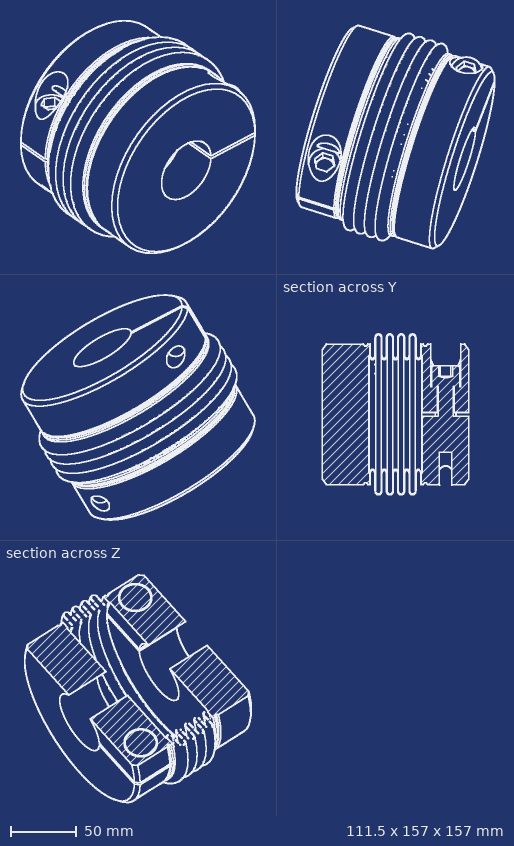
import cadquery as cq
import math

length = 111.5
outer_radius = 157.0 / 2
hub_radius = 145.0 / 2
bore_radius = 50.0 / 2
hub_chamfer = 3.1

crest_count = 4
crest_radius = 2.8
root_radius = 1.49
end_root_radius = 1.7
wall = 0.8
root_distance = 64.8
pitch = 2 * (crest_radius + root_radius)
crest_centre = outer_radius - crest_radius
root_centre = root_distance + root_radius
end_root_centre = root_distance + end_root_radius
last_crest_x = (crest_count - 1) * pitch / 2
end_root_x = last_crest_x + crest_radius + end_root_radius
bellows_end = end_root_x + end_root_radius
cavity_end = bellows_end + wall

groove_depth = 1.1
groove_floor_width = 1.1
groove_outer_x = 24.3
groove_floor_outer_x = groove_outer_x - groove_depth
groove_floor_inner_x = groove_floor_outer_x - groove_floor_width
groove_inner_x = groove_floor_inner_x - groove_depth
groove_floor_radius = hub_radius - groove_depth

slit_width = 2.7

screw_x = -38.2
screw_y = -54.0
counterbore_diameter = 25.0
clearance_diameter = 16.5
tap_diameter = 14.0
shank_diameter = 16.0
shank_length = 50.0
head_diameter = 24.0
head_height = 16.0
head_top = 37.0
head_seat = head_top - head_height
head_round = 1.5
socket_width = 14.0
socket_depth = 8.0
socket_floor = head_top - socket_depth
drill_point_angle = 120.0

pin_diameter = 4.9
pin_offset = 11.0
pin_y = screw_y + pin_offset
pin_z = 42.4


def add_half_circle(path, x, distance, radius, rise):
    """Continue a profile along +X to a half circle; rise is 1 for a crest and -1 for a root."""
    path = path.lineTo(x - radius, distance)
    return path.threePointArc((x, distance + rise * radius), (x + radius, distance))


def add_bellows(path, inset):
    """Continue a profile along +X over the bellows, from one end flank to the other.

    The inset is how far the profile lies inside the outer skin of the bellows.
    """
    end_arc = end_root_radius + inset
    path = add_half_circle(path, -end_root_x, end_root_centre, end_arc, -1)
    for index in range(crest_count):
        crest_x = -last_crest_x + index * pitch
        path = add_half_circle(path, crest_x, crest_centre, crest_radius - inset, 1)
        if index < crest_count - 1:
            path = add_half_circle(path, crest_x + pitch / 2, root_centre, root_radius + inset, -1)
    return add_half_circle(path, end_root_x, end_root_centre, end_arc, -1)


def turn(path):
    """Revolve a closed profile about the X axis."""
    return path.close().revolve(360, (0, 0, 0), (1, 0, 0))


def turned_body():
    """Both hubs, their collars and the bellows, bored through but with a solid middle."""
    end_x = length / 2
    hub_outline = [
        (end_x, bore_radius),
        (end_x, hub_radius - hub_chamfer),
        (end_x - hub_chamfer, hub_radius),
        (groove_outer_x, hub_radius),
        (groove_floor_outer_x, groove_floor_radius),
        (groove_floor_inner_x, groove_floor_radius),
        (groove_inner_x, hub_radius),
        (bellows_end, hub_radius),
    ]
    path = cq.Workplane("XY").polyline([(-x, radius) for x, radius in hub_outline])
    path = add_bellows(path, 0)
    for x, radius in reversed(hub_outline):
        path = path.lineTo(x, radius)
    return turn(path)


def bellows_cavity():
    """Space between the hubs, following the bellows at one wall thickness."""
    path = cq.Workplane("XY").moveTo(-cavity_end, 0)
    path = add_bellows(path, wall)
    return turn(path.lineTo(cavity_end, 0))


def screw_axis_cylinder(diameter, bottom, top):
    base = cq.Workplane("XY", origin=(screw_x, screw_y, bottom))
    return base.circle(diameter / 2).extrude(top - bottom)


def clamp_slit():
    """Slit from the bore out through the -Y side, stopping at the end wall of the bellows."""
    slit_length = length / 2 - cavity_end
    corner = cq.Workplane("XY", origin=(-length / 2, -outer_radius, 0))
    return corner.box(slit_length, outer_radius, slit_width, centered=(False, False, True))


def screw_hole():
    """Counterbore from above, clearance hole to the slit, tapped hole out below."""
    counterbore = screw_axis_cylinder(counterbore_diameter, head_seat, outer_radius)
    clearance = screw_axis_cylinder(clearance_diameter, 0, head_seat)
    tapped = screw_axis_cylinder(tap_diameter, -outer_radius, 0)
    return counterbore.union(clearance).union(tapped)


def hex_socket():
    """Hexagon with two flats facing along Y and a conical drill point below it."""
    half_width = socket_width / 2
    corner_diameter = socket_width / math.cos(math.pi / 6)
    base = cq.Workplane("XY", origin=(screw_x, screw_y, socket_floor))
    hexagon = base.polygon(6, corner_diameter).extrude(socket_depth)
    point_depth = half_width / math.tan(math.radians(drill_point_angle / 2))
    drill_point = cq.Solid.makeCone(
        half_width, 0, point_depth, cq.Vector(screw_x, screw_y, socket_floor), cq.Vector(0, 0, -1)
    )
    return hexagon.union(cq.Workplane(drill_point))


def clamp_screw():
    head = screw_axis_cylinder(head_diameter, head_seat, head_top)
    head = head.faces(">Z").edges().fillet(head_round)
    shank = screw_axis_cylinder(shank_diameter, head_seat - shank_length, head_seat)
    return head.union(shank).cut(hex_socket())


def retaining_pin():
    base = cq.Workplane("YZ", origin=(screw_x, pin_y, pin_z))
    return base.circle(pin_diameter / 2).extrude(counterbore_diameter / 2, both=True)


def on_both_hubs(shape):
    """The shape and its copy on the +X hub, half a turn about Z."""
    return shape, shape.rotate((0, 0, 0), (0, 0, 1), 180)


result = turned_body().cut(bellows_cavity())
for opening in (clamp_slit(), screw_hole()):
    for copy in on_both_hubs(opening):
        result = result.cut(copy)
for fitting in (clamp_screw(), retaining_pin()):
    for copy in on_both_hubs(fitting):
        result = result.union(copy)